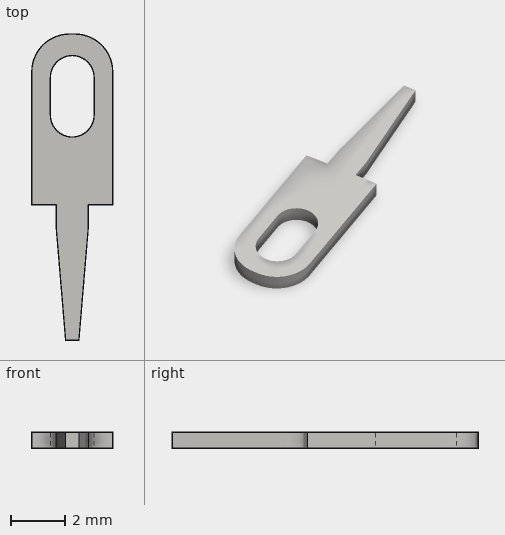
import cadquery as cq

total_length = 11.3
head_width = 3.0
thickness = 0.6

corner_radius = 1.4
slot_length = 3.0
slot_width = 1.6
slot_end_margin = 0.8

tail_length = 5.0
neck_length = 0.8
neck_width = 1.2
tip_width = 0.5

shoulder_y = tail_length
taper_start_y = shoulder_y - neck_length
slot_center_y = total_length - slot_end_margin - slot_length / 2


def make_head():
    """Flat plate with two rounded far corners."""
    plate = cq.Workplane("XY").box(
        head_width, total_length - shoulder_y, thickness, centered=(True, False, False)
    )
    return plate.translate((0, shoulder_y, 0)).edges("|Z and >Y").fillet(corner_radius)


def make_tail():
    """Neck and tapered pin, joined to the head at the shoulder."""
    return (
        cq.Workplane("XY")
        .moveTo(-tip_width / 2, 0)
        .lineTo(tip_width / 2, 0)
        .lineTo(neck_width / 2, taper_start_y)
        .lineTo(neck_width / 2, shoulder_y)
        .lineTo(-neck_width / 2, shoulder_y)
        .lineTo(-neck_width / 2, taper_start_y)
        .close()
        .extrude(thickness)
    )


def make_slot():
    """Round-ended slot through the head, lengthwise along Y."""
    return (
        cq.Workplane("XY")
        .center(0, slot_center_y)
        .slot2D(slot_length, slot_width, 90)
        .extrude(thickness)
    )


result = make_head().union(make_tail()).cut(make_slot())